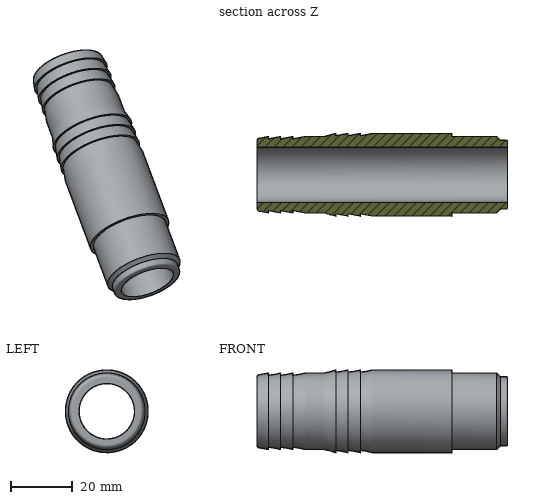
import cadquery as cq

length = 81.5
bore_radius = 9.0

body_radius = 13.49
neck_radius = 12.5
nose_radius = 11.25

barb_pitch = 4.0
barb_depth = 0.7
small_barb_count = 4
large_barb_count = 4
small_barbs_end = 15.7
large_barbs_end = 37.65
large_barbs_start = 21.9

shoulder_x = 63.4
nose_length = 2.4
nose_bevel = neck_radius - nose_radius

inlet_round = 1.0
nose_round = 0.5


def barb_points(end_x, count, peak_radius):
    """Root and peak of each barb, listed from -X to +X."""
    points = []
    for index in range(count):
        start_x = end_x - (count - index) * barb_pitch
        points.append((start_x, peak_radius - barb_depth))
        points.append((start_x + barb_pitch, peak_radius))
    return points


small_barbs = barb_points(small_barbs_end, small_barb_count, neck_radius)
ramp_slope = barb_depth / barb_pitch
inlet_x = 0.0
inlet_radius = small_barbs[0][1] + ramp_slope * (inlet_x - small_barbs[0][0])
small_barbs[0] = (inlet_x, inlet_radius)

large_barbs = barb_points(large_barbs_end, large_barb_count, body_radius)
large_barbs[0] = (large_barbs_start, neck_radius)

nose_x = length - nose_length
spigot = [
    (shoulder_x, body_radius),
    (shoulder_x, neck_radius),
    (nose_x - nose_bevel, neck_radius),
    (nose_x, nose_radius),
    (length, nose_radius),
]

profile = [(inlet_x, bore_radius)] + small_barbs + large_barbs + spigot + [(length, bore_radius)]
tube = cq.Workplane("XY").polyline(profile).close().revolve(360, (0, 0, 0), (1, 0, 0))


def round_outer_rim(body, face, radius):
    """Round the outer edge of an annular end face."""
    rim = body.faces(face).edges(cq.selectors.RadiusNthSelector(-1))
    return rim.fillet(radius)


tube = round_outer_rim(tube, "<X", inlet_round)
result = round_outer_rim(tube, ">X", nose_round)